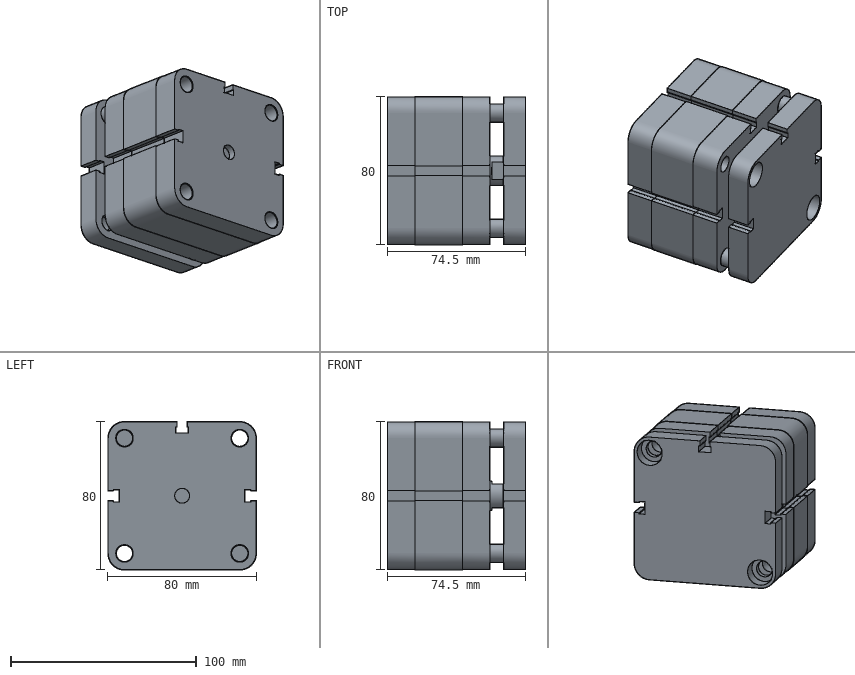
import cadquery as cq

cap_length = 14.7
barrel_length = 25.8
gap = 7.4
plate_thickness = 11.9
housing_length = 2 * cap_length + barrel_length
plate_start = housing_length + gap

barrel_side = 80.0
corner_radius = 9.0
cap_inset = 0.2

slot_depth = 6.1
slot_lip = 2.9
slot_mouth_width = 5.3
slot_inner_width = 6.5

hole_offset = 31.0
hole_diameter = 8.8
hole_chamfer = 0.3
bolt_corners = [(-hole_offset, hole_offset), (hole_offset, -hole_offset)]
pin_corners = [(hole_offset, hole_offset), (-hole_offset, -hole_offset)]
pin_diameter = 10.0

centre_hole_diameter = 8.0
centre_hole_depth = 4.0

head_diameter = 14.0
plate_web = 3.7

rod_diameter = 16.0
rod_chamfer = 0.3
flat_width = 13.0
flat_start = 1.1
flat_shoulder_chamfer = 0.4


def section_plane(x):
    """Plane across the stroke axis: local axes are Y and Z, extrusion goes along +X."""
    return cq.Workplane("YZ", origin=(x, 0, 0))


def slot_cutter(x, length, inset, angle):
    """T-slot for the +Z side, turned about X; a section with an inset has a wider slot."""
    outer = barrel_side / 2
    floor = outer - slot_depth - inset
    lip = outer - slot_lip - inset
    mouth_width = slot_mouth_width + 2 * inset
    inner_width = slot_inner_width + 2 * inset
    mouth = section_plane(x).center(0, (floor + outer) / 2).rect(mouth_width, outer - floor).extrude(length)
    inner = section_plane(x).center(0, (floor + lip) / 2).rect(inner_width, lip - floor).extrude(length)
    return mouth.union(inner).rotate((0, 0, 0), (1, 0, 0), angle)


def slotted_block(x, length, inset=0.0):
    """Rounded square block with the three T-slots running through it."""
    side = barrel_side - 2 * inset
    block = section_plane(x).rect(side, side).extrude(length)
    block = block.edges("|X").fillet(corner_radius - inset)
    for angle in (-90, 0, 90):
        block = block.cut(slot_cutter(x, length, inset, angle))
    return block


def chamfered_holes(length, corners):
    """Cutter for through holes from the rear face, where their rims are chamfered."""
    bore_radius = hole_diameter / 2
    rim_radius = bore_radius + hole_chamfer
    bores = section_plane(0).pushPoints(corners).circle(bore_radius).extrude(length)
    for y, z in corners:
        rim = cq.Solid.makeCone(
            rim_radius, bore_radius, hole_chamfer, pnt=cq.Vector(0, y, z), dir=cq.Vector(1, 0, 0)
        )
        bores = bores.union(cq.Workplane(rim))
    return bores


def make_housing():
    """Rear cap, barrel and front cap in one block with four through holes."""
    block = slotted_block(0, cap_length, cap_inset)
    block = block.union(slotted_block(cap_length, barrel_length))
    block = block.union(slotted_block(cap_length + barrel_length, cap_length, cap_inset))
    block = block.cut(chamfered_holes(housing_length, bolt_corners + pin_corners))
    centre_hole = section_plane(0).circle(centre_hole_diameter / 2).extrude(centre_hole_depth)
    return block.cut(centre_hole)


def make_plate():
    """Front plate with two counterbored bolt holes."""
    plate = slotted_block(plate_start, plate_thickness, cap_inset)
    bores = section_plane(plate_start).pushPoints(bolt_corners)
    plate = plate.cut(bores.circle(hole_diameter / 2).extrude(plate_thickness))
    heads = section_plane(plate_start + plate_web).pushPoints(bolt_corners)
    return plate.cut(heads.circle(head_diameter / 2).extrude(plate_thickness - plate_web))


def make_rod():
    """Piston rod across the gap, with flats on +Z and -Z that end at a chamfered shoulder."""
    rod = section_plane(housing_length).circle(rod_diameter / 2).extrude(gap)
    rod = rod.faces(">X").chamfer(rod_chamfer)
    flat_cutter = (
        cq.Workplane("XZ", origin=(housing_length, 0, 0))
        .moveTo(flat_start - flat_shoulder_chamfer, rod_diameter / 2)
        .lineTo(flat_start, rod_diameter / 2 - flat_shoulder_chamfer)
        .lineTo(flat_start, flat_width / 2)
        .lineTo(gap, flat_width / 2)
        .lineTo(gap, rod_diameter / 2)
        .close()
        .extrude(rod_diameter / 2, both=True)
    )
    return rod.cut(flat_cutter).cut(flat_cutter.mirror("XY"))


def make_guide_pin(y, z):
    """Guide pin between the housing and the plate."""
    return section_plane(housing_length).center(y, z).circle(pin_diameter / 2).extrude(gap)


housing = make_housing()
plate = make_plate()
piston_rod = make_rod()
guide_pins = [make_guide_pin(y, z) for y, z in pin_corners]

result = cq.Compound.makeCompound(
    [housing.val(), plate.val(), piston_rod.val(), *[pin.val() for pin in guide_pins]]
)